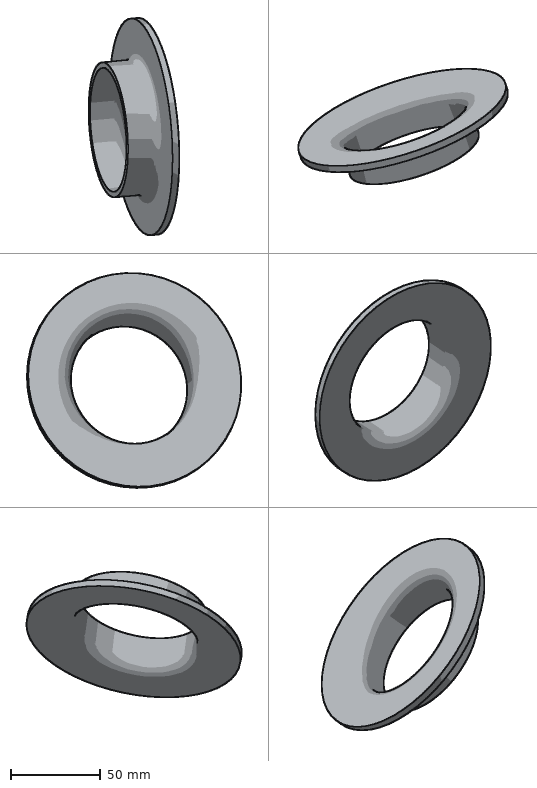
import cadquery as cq

flange_diameter = 122.0
flange_thickness = 4.0
total_length = 23.0
tube_outer_diameter = 76.0
tube_bore_diameter = 69.7
root_fillet_radius = 5.0
mouth_radius = root_fillet_radius + flange_thickness

flange_radius = flange_diameter / 2
outer_radius = tube_outer_diameter / 2
bore_radius = tube_bore_diameter / 2

tube_end = -total_length
flange_front = -flange_thickness


def quarter_arc_middle(center_x, center_y, radius):
    """Midpoint of the quarter arc facing -X and +Y from its center."""
    offset = radius * 0.5 ** 0.5
    return (center_x - offset, center_y + offset)


fillet_center = (outer_radius + root_fillet_radius, flange_front - root_fillet_radius)
mouth_center = (bore_radius + mouth_radius, -mouth_radius)

section = (
    cq.Workplane("XY")
    .moveTo(bore_radius, tube_end)
    .lineTo(outer_radius, tube_end)
    .lineTo(outer_radius, fillet_center[1])
    .threePointArc(
        quarter_arc_middle(*fillet_center, root_fillet_radius),
        (fillet_center[0], flange_front),
    )
    .lineTo(flange_radius, flange_front)
    .lineTo(flange_radius, 0)
    .lineTo(mouth_center[0], 0)
    .threePointArc(
        quarter_arc_middle(*mouth_center, mouth_radius),
        (bore_radius, mouth_center[1]),
    )
    .close()
)

result = section.revolve(360, (0, 0, 0), (0, 1, 0))